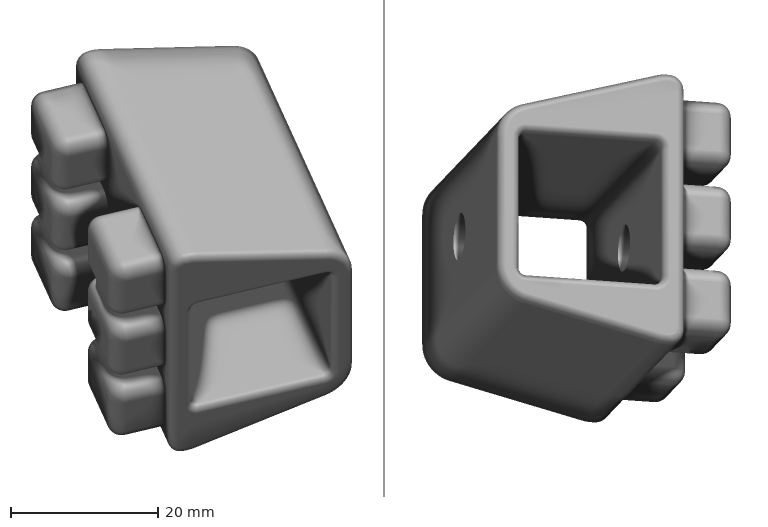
import cadquery as cq

WIDTH = 42.0
HEIGHT = 38.0
TOTAL_DEPTH = 33.7
BODY_DEPTH = 26.15
FRONT_WALL = 3.1
BACK_WALL = 3.02
TUBE_DROP = 0.67
SHOULDER_RADIUS = 5.0
PLATE_CORNER_RADIUS = 2.0
END_FILLET = 1.1

OPENING_HEIGHT = 20.05
OPENING_DEPTH = BODY_DEPTH - FRONT_WALL - BACK_WALL
OPENING_RADIUS = 1.0
OPENING_FILLET = 1.0
BACK_HEIGHT = OPENING_HEIGHT + 2 * BACK_WALL

HOLE_DIAMETER = 6.45

PAD_WIDTH = 12.2
PAD_HEIGHT = 9.35
PAD_LENGTH = TOTAL_DEPTH - BODY_DEPTH
PAD_RADIUS = 2.0
PAD_SIDE_MARGIN = 2.55
PAD_TOP_MARGIN = 2.48
PAD_ROOT = 0.4
PAD_X = (WIDTH - PAD_WIDTH) / 2 - PAD_SIDE_MARGIN
PAD_Z = (HEIGHT - PAD_HEIGHT) / 2 - PAD_TOP_MARGIN

EDGE_TOLERANCE = 0.05


def round_corners(block, y, radius):
    """Round the top and bottom edges along X that lie at depth y."""
    strip = cq.selectors.BoxSelector(
        (-WIDTH, y - EDGE_TOLERANCE, -HEIGHT),
        (WIDTH, y + EDGE_TOLERANCE, HEIGHT),
    )
    return block.edges("|X").edges(strip).fillet(radius)


def make_body():
    """Tapered block; the plate's front face lies at y = 0."""
    half_height = HEIGHT / 2
    outline = [
        (0, -half_height),
        (0, half_height),
        (FRONT_WALL, half_height),
        (BODY_DEPTH, BACK_HEIGHT / 2 - TUBE_DROP),
        (BODY_DEPTH, -BACK_HEIGHT / 2 - TUBE_DROP),
        (FRONT_WALL, -half_height),
    ]
    block = cq.Workplane("YZ").polyline(outline).close().extrude(WIDTH / 2, both=True)
    block = round_corners(block, 0, PLATE_CORNER_RADIUS)
    block = round_corners(block, FRONT_WALL, SHOULDER_RADIUS)
    block = round_corners(block, BODY_DEPTH, SHOULDER_RADIUS)
    return block.faces("<X or >X").edges().fillet(END_FILLET)


def make_opening():
    """Cutter for the opening, with rounded corners."""
    centre_y = FRONT_WALL + OPENING_DEPTH / 2
    return (
        cq.Workplane("YZ")
        .center(centre_y, -TUBE_DROP)
        .rect(OPENING_DEPTH, OPENING_HEIGHT)
        .extrude(WIDTH / 2, both=True)
        .edges("|X")
        .fillet(OPENING_RADIUS)
    )


def round_opening_rims(body):
    """Round the opening's edges on both X end faces."""
    for side in ("<X", ">X"):
        rim = body.faces(side).val().innerWires()[0]
        body = body.newObject(rim.Edges()).fillet(OPENING_FILLET)
    return body


def make_pad(x, z):
    """Pad standing on the plate with rounded sides and tip."""
    return (
        cq.Workplane("XZ", origin=(x, PAD_ROOT, z))
        .rect(PAD_WIDTH, PAD_HEIGHT)
        .extrude(PAD_LENGTH + PAD_ROOT)
        .edges("|Y or <Y")
        .fillet(PAD_RADIUS)
    )


hole = (
    cq.Workplane("XZ", origin=(0, BODY_DEPTH, 0))
    .circle(HOLE_DIAMETER / 2)
    .extrude(BODY_DEPTH)
)

result = round_opening_rims(make_body().cut(make_opening())).cut(hole)
for pad_x in (-PAD_X, PAD_X):
    for pad_z in (-PAD_Z, 0, PAD_Z):
        result = result.union(make_pad(pad_x, pad_z))